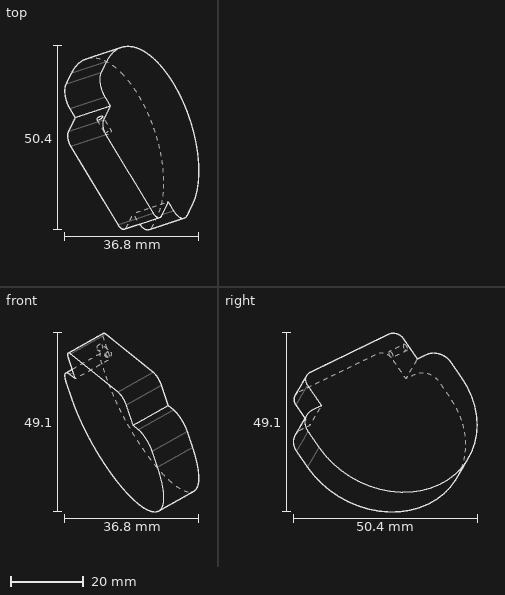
import cadquery as cq

thickness = 11.55
thickness_direction = cq.Vector(62.5, 20.6, 35.2)
width_direction = cq.Vector(-90, 147, 71)

body_radius = 24.75
shoulder_height = 10.55
shoulder_radius = 5.05
block_half_width = 16.6
block_height = 20.55
block_corner_radius = 3.0

hole_diameter = 1.85
hole_depth = 5.05
hole_height = 15.6
hole_from_back = 1.85


def centred_bar(half_width, height):
    """Rectangle rising from the origin, extruded through the plate thickness."""
    return (
        cq.Workplane("XY")
        .rect(2 * half_width, height)
        .extrude(thickness)
        .translate((0, height / 2, 0))
    )


def rounded_bar(half_width, height, corner_radius):
    """Bar with its two upper corners rounded."""
    return centred_bar(half_width, height).edges("|Z and >Y").fillet(corner_radius)


def side_hole():
    """Blind hole entering the block from its right side."""
    mouth = cq.Vector(block_half_width, hole_height, thickness - hole_from_back)
    return cq.Solid.makeCylinder(hole_diameter / 2, hole_depth, mouth, cq.Vector(-1, 0, 0))


round_end = cq.Workplane("XY").circle(body_radius).extrude(thickness)
shoulders = rounded_bar(body_radius, shoulder_height, shoulder_radius)
block = rounded_bar(block_half_width, block_height, block_corner_radius)

lower_half = centred_bar(body_radius, body_radius).translate((0, -body_radius, 0))
plate = round_end.intersect(lower_half).union(shoulders).union(block).cut(side_hole())

lean = cq.Plane(origin=(0, 0, 0), xDir=width_direction, normal=thickness_direction)
leaning = plate.val().moved(cq.Location(lean))
result = cq.Workplane("XY").newObject([leaning.translate(leaning.BoundingBox().center * -1)])